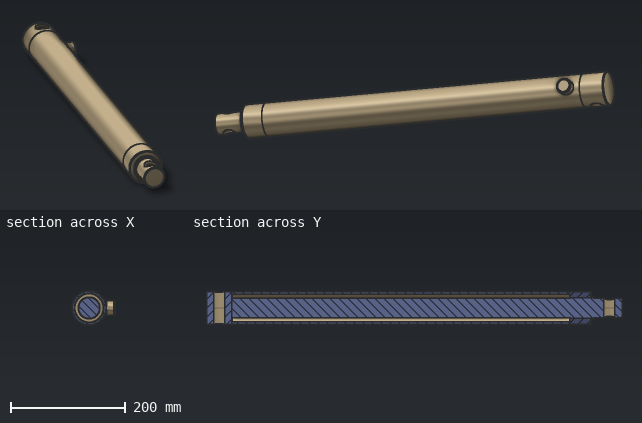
import cadquery as cq

total_length = 724.0
body_diameter = 60.0
tube_bore = 50.0
cap_length = 44.0
gland_length = 38.0
rod_exposed_length = 54.0
edge_chamfer = 1.5

eye_diameter = 24.0
cap_eye_x = 22.0
rod_eye_from_end = 22.5

rod_diameter = 38.0
rod_chamfer = 1.5
wiper_diameter = 43.0
wiper_length = 6.0
wiper_chamfer = 1.5

port_x = 68.0
port_diameter = 26.0
port_chamfer = 2.0
overall_width = 75.0

gland_end = total_length - rod_exposed_length
tube_end = gland_end - gland_length
port_base = body_diameter / 2
port_height = overall_width - body_diameter


def cylinder_x(start, end, diameter):
    """Solid cylinder on the X axis between two stations."""
    return cq.Workplane("YZ", origin=(start, 0, 0)).circle(diameter / 2).extrude(end - start)


def eye_cutter(x):
    """Cross hole along Z, long enough to pass through the whole body."""
    return (
        cq.Workplane("XY", origin=(x, 0, 0))
        .circle(eye_diameter / 2)
        .extrude(body_diameter, both=True)
    )


def make_end_cap():
    cap = cylinder_x(0, cap_length, body_diameter).faces("<X").chamfer(edge_chamfer)
    return cap.cut(eye_cutter(cap_eye_x))


def make_tube():
    outside = cylinder_x(cap_length, tube_end, body_diameter)
    return outside.cut(cylinder_x(cap_length, tube_end, tube_bore))


def make_gland():
    collar = cylinder_x(tube_end, gland_end, body_diameter).faces(">X").chamfer(edge_chamfer)
    wiper_end = gland_end + wiper_length
    wiper = cylinder_x(gland_end, wiper_end, wiper_diameter).faces(">X").chamfer(wiper_chamfer)
    return collar.union(wiper).cut(cylinder_x(tube_end, wiper_end, rod_diameter))


def make_rod():
    rod = cylinder_x(cap_length, total_length, rod_diameter).faces(">X").chamfer(rod_chamfer)
    return rod.cut(eye_cutter(total_length - rod_eye_from_end))


def make_port_boss():
    return (
        cq.Workplane("XZ", origin=(port_x, port_base, 0))
        .circle(port_diameter / 2)
        .extrude(-port_height)
        .faces(">Y")
        .chamfer(port_chamfer)
    )


end_cap = make_end_cap()
tube = make_tube()
gland = make_gland()
rod = make_rod()
port_boss = make_port_boss()

result = cq.Compound.makeCompound(
    [end_cap.val(), tube.val(), gland.val(), rod.val(), port_boss.val()]
)